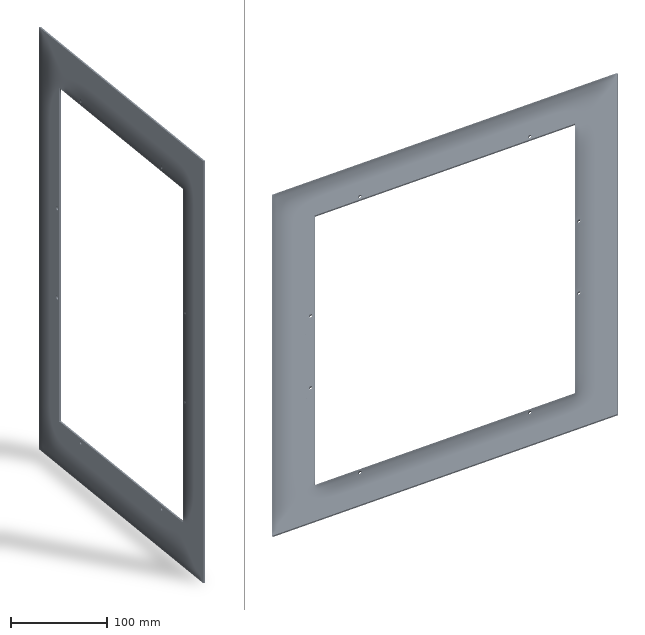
import cadquery as cq

width = 406.0
height = 474.0
thickness = 2.0
border = 50.0

hole_diameter = 4.0
hole_edge_distance = 4.5
top_hole_spacing = 200.0
side_hole_spacing = top_hole_spacing / 2

opening_width = width - 2 * border
opening_height = height - 2 * border
hole_row_x = opening_width / 2 + hole_edge_distance
hole_row_z = opening_height / 2 + hole_edge_distance

hole_centers = []
for side_x in (-1, 1):
    for side_z in (-1, 1):
        hole_centers.append((side_x * top_hole_spacing / 2, side_z * hole_row_z))
        hole_centers.append((side_x * hole_row_x, side_z * side_hole_spacing / 2))

result = (
    cq.Workplane("XZ")
    .rect(width, height)
    .rect(opening_width, opening_height)
    .pushPoints(hole_centers)
    .circle(hole_diameter / 2)
    .extrude(thickness / 2, both=True)
)